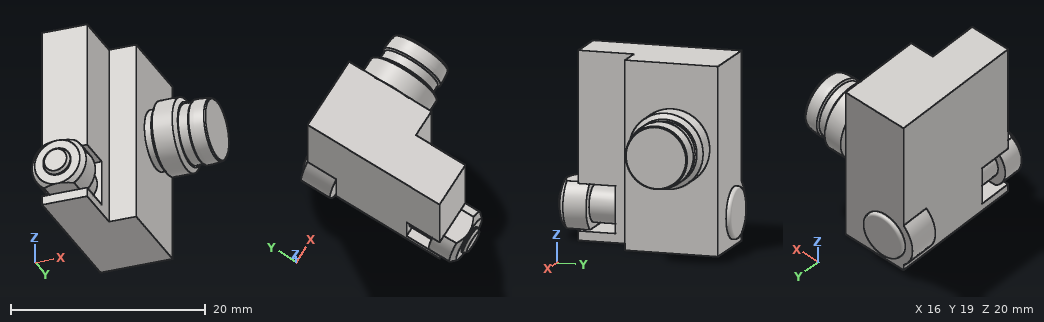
import cadquery as cq

OVERALL_WIDTH = 16.0

BODY_THICKNESS = 8.0
BODY_DEPTH = 16.0
BODY_HEIGHT = 20.0
THIN_THICKNESS = 5.0
THIN_DEPTH = 6.0

SLOT_HEIGHT = 5.0
SLOT_DEPTH = 4.0
SLOT_FLOOR_Z = 1.0

SCREW_X = THIN_THICKNESS / 2
SCREW_Z = SLOT_FLOOR_Z + SLOT_HEIGHT / 2

SHANK_DIAMETER = 4.0
NUT_DIAMETER = 6.0
NUT_LENGTH = 3.0
NUT_INSET = 1.0
NUT_CHAMFER = 0.5
TIP_DIAMETER = 3.0
TIP_LENGTH = 0.5
TIP_CHAMFER_LENGTH = 0.32
TIP_CHAMFER_WIDTH = 0.25

CAP_DIAMETER = 5.5
CAP_HEIGHT = 0.5
CAP_FILLET = 0.3
BULGE_DIAMETER = 7.5
BULGE_LENGTH = 3.5
BULGE_PROTRUSION = BULGE_DIAMETER / 2 - SCREW_X

CONNECTOR_Y = 11.5
CONNECTOR_Z = 11.5
CONNECTOR_LENGTH = OVERALL_WIDTH - BODY_THICKNESS - BULGE_PROTRUSION
NECK_RADIUS = 6.5 / 2
COLLAR_RADIUS = 8.0 / 2
COLLAR_EDGE_RADIUS = 6.9 / 2
COLLAR_START = 0.8
COLLAR_END = 3.75
COLLAR_CHAMFER_LENGTH = 0.35
LIP_RADIUS = 6.9 / 2
LIP_START = 4.8
LIP_RAMP_LENGTH = 0.18
LIP_CURVE_START = 5.5
LIP_CURVE_END_RADIUS = 3.32
END_CHAMFER_LENGTH = 0.15
END_RADIUS = 3.22


def cylinder_along_y(diameter, start_y, end_y):
    """Solid cylinder on the screw axis between two Y positions."""
    axis_start = cq.Vector(SCREW_X, start_y, SCREW_Z)
    return cq.Workplane(
        cq.Solid.makeCylinder(diameter / 2, end_y - start_y, axis_start, cq.Vector(0, 1, 0))
    )


def make_body():
    outline = [
        (0, 0),
        (THIN_THICKNESS, 0),
        (THIN_THICKNESS, THIN_DEPTH),
        (BODY_THICKNESS, THIN_DEPTH),
        (BODY_THICKNESS, BODY_DEPTH),
        (0, BODY_DEPTH),
    ]
    body = cq.Workplane("XY").polyline(outline).close().extrude(BODY_HEIGHT)
    slot = (
        cq.Workplane("XY")
        .box(THIN_THICKNESS, SLOT_DEPTH, SLOT_HEIGHT, centered=False)
        .translate((0, 0, SLOT_FLOOR_Z))
    )
    return body.cut(slot)


def make_screw():
    nut_front = NUT_INSET - NUT_LENGTH
    shank = cylinder_along_y(SHANK_DIAMETER, NUT_INSET, SLOT_DEPTH)
    nut = cylinder_along_y(NUT_DIAMETER, nut_front, NUT_INSET).faces("<Y").chamfer(NUT_CHAMFER)
    flats = (
        cq.Workplane("XY")
        .box(NUT_DIAMETER, NUT_LENGTH, SLOT_HEIGHT)
        .translate((SCREW_X, NUT_INSET - NUT_LENGTH / 2, SCREW_Z))
    )
    tip = (
        cylinder_along_y(TIP_DIAMETER, nut_front - TIP_LENGTH, nut_front)
        .faces("<Y").edges()
        .chamfer(TIP_CHAMFER_LENGTH, TIP_CHAMFER_WIDTH)
    )
    return shank.union(nut.intersect(flats)).union(tip)


def make_rear_cap():
    cap = cylinder_along_y(CAP_DIAMETER, BODY_DEPTH, BODY_DEPTH + CAP_HEIGHT)
    return cap.faces(">Y").edges().fillet(CAP_FILLET)


def make_bulge():
    """Part of a cylinder on the screw axis that stands out of the -X face."""
    cylinder = cylinder_along_y(BULGE_DIAMETER, BODY_DEPTH - BULGE_LENGTH, BODY_DEPTH)
    outside = (
        cq.Workplane("XY")
        .box(BULGE_DIAMETER, BODY_DEPTH, BULGE_DIAMETER)
        .translate((-BULGE_DIAMETER / 2, BODY_DEPTH / 2, SCREW_Z))
    )
    return cylinder.intersect(outside)


def make_connector():
    profile = [
        (0, 0),
        (0, NECK_RADIUS),
        (COLLAR_START, NECK_RADIUS),
        (COLLAR_START, COLLAR_EDGE_RADIUS),
        (COLLAR_START + COLLAR_CHAMFER_LENGTH, COLLAR_RADIUS),
        (COLLAR_END - COLLAR_CHAMFER_LENGTH, COLLAR_RADIUS),
        (COLLAR_END, COLLAR_EDGE_RADIUS),
        (COLLAR_END, NECK_RADIUS),
        (LIP_START, NECK_RADIUS),
        (LIP_START + LIP_RAMP_LENGTH, LIP_RADIUS),
        (LIP_CURVE_START, LIP_RADIUS),
    ]
    outline = (
        cq.Workplane("XY")
        .polyline(profile)
        .tangentArcPoint((CONNECTOR_LENGTH - END_CHAMFER_LENGTH, LIP_CURVE_END_RADIUS), relative=False)
        .lineTo(CONNECTOR_LENGTH, END_RADIUS)
        .lineTo(CONNECTOR_LENGTH, 0)
        .close()
    )
    connector = outline.revolve(360, (0, 0, 0), (1, 0, 0))
    return connector.translate((BODY_THICKNESS, CONNECTOR_Y, CONNECTOR_Z))


result = (
    make_body()
    .union(make_screw())
    .union(make_rear_cap())
    .union(make_bulge())
    .union(make_connector())
)